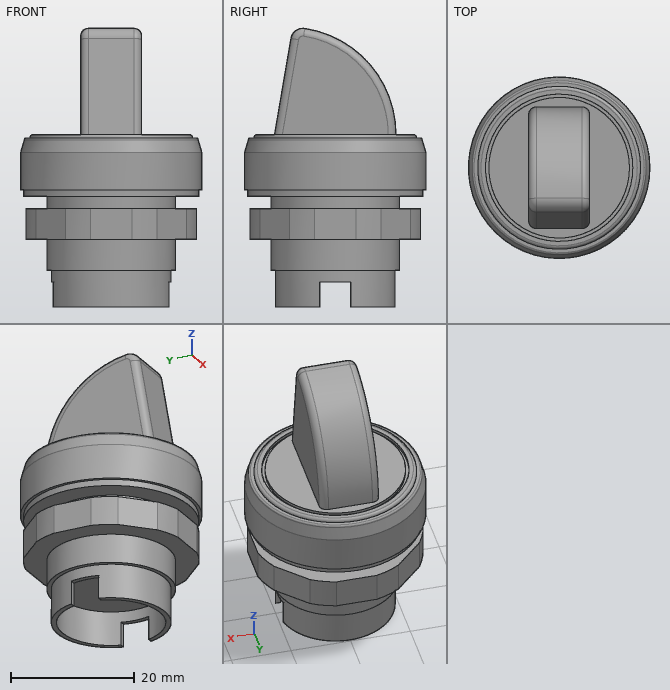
import cadquery as cq
import math


total_height = 45.3
collar_top = 6.0
nut_bottom = 11.0
nut_height = 5.0
bezel_bottom = 18.0
bezel_foot_height = 1.1
bezel_cone_bottom = 25.1
bezel_shoulder = 27.5
bezel_top = 28.05

collar_radius = 9.75
collar_wall = 0.85
neck_radius = 10.45
bezel_foot_radius = 14.25
bezel_diameter = 29.5
bezel_radius = bezel_diameter / 2
bezel_cone_top_radius = 14.15
shoulder_round = 0.3
rim_radius = 13.25
rim_round = bezel_top - bezel_shoulder

groove_outer_radius = 11.95
groove_inner_radius = 11.4
groove_depth = 0.5

slot_width = 5.0
slot_height = 4.1

grip_width = 9.93
grip_half_length = 9.9
grip_face_angle = math.radians(9.7)
grip_tip_radius = 2.0
grip_edge_round = 1.25

nut_radius = 14.28
nut_across_flats = 27.75
nut_flats = 8


def make_turned_body():
    """Collar, neck and bezel as one turned solid."""
    slant = math.sqrt(0.5)
    shoulder_mid = (
        bezel_cone_top_radius - shoulder_round * (1 - slant),
        bezel_shoulder - shoulder_round * (1 - slant),
    )
    rim_mid = (
        rim_radius - rim_round * (1 - slant),
        bezel_top - rim_round * (1 - slant),
    )
    return (
        cq.Workplane("XZ")
        .lineTo(collar_radius, 0)
        .lineTo(collar_radius, collar_top)
        .lineTo(neck_radius, collar_top)
        .lineTo(neck_radius, bezel_bottom)
        .lineTo(bezel_foot_radius, bezel_bottom)
        .lineTo(bezel_foot_radius, bezel_bottom + bezel_foot_height)
        .lineTo(bezel_radius, bezel_bottom + bezel_foot_height)
        .lineTo(bezel_radius, bezel_cone_bottom)
        .lineTo(bezel_cone_top_radius, bezel_shoulder - shoulder_round)
        .threePointArc(shoulder_mid, (bezel_cone_top_radius - shoulder_round, bezel_shoulder))
        .lineTo(rim_radius, bezel_shoulder)
        .threePointArc(rim_mid, (rim_radius - rim_round, bezel_top))
        .lineTo(0, bezel_top)
        .close()
        .revolve(360, (0, 0, 0), (0, 1, 0))
    )


def make_groove():
    return (
        cq.Workplane("XY", origin=(0, 0, bezel_top - groove_depth))
        .circle(groove_outer_radius)
        .circle(groove_inner_radius)
        .extrude(groove_depth)
    )


def make_collar_bore():
    return cq.Workplane("XY").circle(collar_radius - collar_wall).extrude(collar_top)


def make_collar_slot():
    return cq.Workplane("XY").box(
        2 * neck_radius, slot_width, slot_height, centered=(True, True, False)
    )


def make_grip():
    """Grip with a round back, a leaning front face and a round tip tangent to both."""
    tip_z = total_height - grip_tip_radius
    rise = tip_z - bezel_top
    tip_y = (
        -grip_half_length
        + rise * math.tan(grip_face_angle)
        + grip_tip_radius / math.cos(grip_face_angle)
    )
    reach = grip_half_length - tip_y
    back_radius = (reach**2 + rise**2 - grip_tip_radius**2) / (2 * (reach - grip_tip_radius))
    back_y = grip_half_length - back_radius
    join_angle = math.atan2(rise, tip_y - back_y)
    face_angle = math.pi - grip_face_angle

    def back_point(angle):
        return (
            back_y + back_radius * math.cos(angle),
            bezel_top + back_radius * math.sin(angle),
        )

    def tip_point(angle):
        return (
            tip_y + grip_tip_radius * math.cos(angle),
            tip_z + grip_tip_radius * math.sin(angle),
        )

    grip = (
        cq.Workplane("YZ")
        .moveTo(-grip_half_length, bezel_top)
        .lineTo(grip_half_length, bezel_top)
        .threePointArc(back_point(join_angle / 2), back_point(join_angle))
        .threePointArc(tip_point((join_angle + face_angle) / 2), tip_point(face_angle))
        .close()
        .extrude(grip_width / 2, both=True)
    )
    side_edges = grip.faces("|X").edges("not(<Z)")
    return side_edges.fillet(grip_edge_round)


def make_head():
    return (
        make_turned_body()
        .cut(make_groove())
        .cut(make_collar_bore())
        .cut(make_collar_slot())
        .union(make_grip())
    )


def make_nut():
    corner_diameter = nut_across_flats / math.cos(math.pi / nut_flats)
    octagon = (
        cq.Workplane("XY", origin=(0, 0, nut_bottom))
        .transformed(rotate=(0, 0, 180 / nut_flats))
        .polygon(nut_flats, corner_diameter)
        .extrude(nut_height)
    )
    ring = (
        cq.Workplane("XY", origin=(0, 0, nut_bottom))
        .circle(nut_radius)
        .circle(neck_radius)
        .extrude(nut_height)
    )
    return ring.intersect(octagon)


head = make_head()
nut = make_nut()

result = cq.Compound.makeCompound([head.solids().val(), nut.solids().val()])